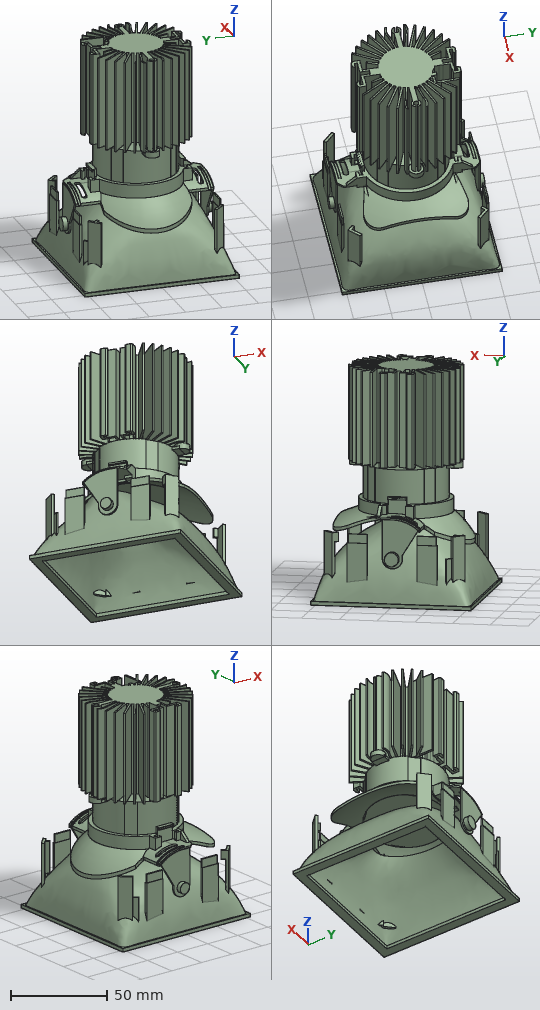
import cadquery as cq
import math

total_height = 121.0
flange_side = 84.8
flange_thickness = 2.0

sink_length = 50.0
sink_bottom = total_height - sink_length
core_radius = 14.7
fin_tip_radius = 29.75
short_fin_radius = 21.0
fin_root_thickness = 1.3
fin_tip_thickness = 0.95
fin_pitch = 10

holder_radius = 22.4
holder_top = 69.4
collar_radius = 24.8
collar_bottom = 44.0
collar_top = 51.3

pivot_height = 25.2


def box(x_min, x_max, y_min, y_max, z_min, z_max):
    """Axis-aligned block given by its limits."""
    size = (x_max - x_min, y_max - y_min, z_max - z_min)
    return cq.Workplane("XY").box(*size, centered=False).translate((x_min, y_min, z_min))


def cylinder(x, y, radius, z_min, z_max):
    """Upright cylinder between two heights."""
    return cq.Workplane("XY").workplane(offset=z_min).center(x, y).circle(radius).extrude(z_max - z_min)


def mirrored(shape, plane):
    """A shape together with its mirror image."""
    return shape.union(shape.mirror(plane))


boss_x = 26.1
boss_radius = 2.5
screw_radius = 1.35
screw_slot_width = 0.9
web_thickness = 3.0
post_radius = 4.0
post_bottom = 67.8

lug_half_width = 9.2
lip_half_gap = 5.0
channel_wall = 1.6
lip_chamfer = 0.8
channel_back = 22.8
channel_front = 27.5
stem_half_width = 2.4
stem_slot_half_width = 1.15
stem_slot_start = 19.3


def sink_box(x_min, x_max, y_min, y_max):
    return box(x_min, x_max, y_min, y_max, sink_bottom, total_height)


def radial_fin(angle, tip_radius):
    """Tapered fin pointing along the given angle in degrees."""
    root = fin_root_thickness / 2
    tip = fin_tip_thickness / 2
    inner = core_radius - 1
    outline = [(inner, -root), (tip_radius, -tip), (tip_radius, tip), (inner, root)]
    fin = cq.Workplane("XY").workplane(offset=sink_bottom).polyline(outline).close().extrude(sink_length)
    return fin.rotate((0, 0, 0), (0, 0, 1), angle)


def bent_fin():
    """Fin beside a screw boss: it runs outward, then bows around the boss."""
    half = fin_tip_thickness / 2
    start = (core_radius - 1, 2.6)
    bend = (22.5, 4.6)
    crest = (25.8, 5.6)
    tip = (29.4, 5.0)
    return (
        cq.Workplane("XY")
        .workplane(offset=sink_bottom)
        .moveTo(start[0], start[1] - half)
        .lineTo(bend[0], bend[1] - half)
        .threePointArc((crest[0], crest[1] - half), (tip[0], tip[1] - half))
        .lineTo(tip[0], tip[1] + half)
        .threePointArc((crest[0], crest[1] + half), (bend[0], bend[1] + half))
        .lineTo(start[0], start[1] + half)
        .close()
        .extrude(sink_length)
    )


def screw_boss():
    """Web, open screw boss and mounting post on the +X side."""
    half_web = web_thickness / 2
    web = sink_box(core_radius - 1, boss_x - screw_radius, -half_web, half_web)
    boss = web.union(cylinder(boss_x, 0, boss_radius, sink_bottom, total_height))
    boss = boss.cut(cylinder(boss_x, 0, screw_radius, sink_bottom, total_height))
    half_slot = screw_slot_width / 2
    boss = boss.cut(sink_box(boss_x, boss_x + post_radius, -half_slot, half_slot))
    return boss.union(cylinder(boss_x, 0, post_radius, post_bottom, sink_bottom))


def tee_channel():
    """Slotted stem that carries a C-shaped channel on the +Y side."""
    channel = sink_box(-lug_half_width, lug_half_width, channel_back, channel_front)
    inner = lug_half_width - channel_wall
    channel = channel.cut(
        sink_box(-inner, inner, channel_back + channel_wall, channel_front - channel_wall)
    )
    channel = channel.cut(sink_box(-lip_half_gap, lip_half_gap, channel_back + channel_wall, channel_front))
    channel = channel.edges("|Z and >Y").chamfer(lip_chamfer)
    stem = sink_box(-stem_half_width, stem_half_width, core_radius - 1, channel_back)
    slot = sink_box(-stem_slot_half_width, stem_slot_half_width, stem_slot_start, channel_front)
    return channel.union(stem).cut(slot)


pocket_radius = 5.4
pocket_x = 7.7
pocket_y = 17.9
pocket_floor = 13.2
pocket_wall_x = 12.9
pocket_wall_end = 25.6
pocket_wall_thickness = 1.2
key_width = 2.0
key_height = 1.4


def add_wire_pocket(sink):
    """Wire pocket in the (+X, +Y) quadrant, with a straight wall and a small key."""
    outer = pocket_wall_x + pocket_wall_thickness
    floor_bottom = pocket_floor - pocket_wall_thickness
    sink = sink.union(sink_box(pocket_x, outer, floor_bottom, pocket_floor))
    sink = sink.cut(cylinder(pocket_x, pocket_y, pocket_radius, sink_bottom, total_height))
    sink = sink.cut(sink_box(pocket_x, pocket_wall_x, pocket_floor, channel_back))
    sink = sink.union(sink_box(pocket_wall_x, outer, floor_bottom, pocket_wall_end))
    key_left = pocket_x - key_width / 2
    key_top = pocket_floor + key_height
    return sink.union(sink_box(key_left, key_left + key_width, pocket_floor - 1, key_top))


def build_heat_sink():
    sink = cylinder(0, 0, core_radius, sink_bottom, total_height)
    for step in range(2, 8):
        angle = step * fin_pitch
        tip_radius = short_fin_radius if angle == 70 else fin_tip_radius
        for direction in (angle, 180 - angle, 180 + angle, -angle):
            if direction in (60, 70):
                continue
            sink = sink.union(radial_fin(direction, tip_radius))
    sink = sink.union(mirrored(mirrored(bent_fin(), "XZ"), "YZ"))
    sink = sink.union(mirrored(screw_boss(), "YZ"))
    sink = sink.union(mirrored(tee_channel(), "XZ"))
    return add_wire_pocket(sink)


notch_distance = 21.65
notch_half_width = 3.4


def build_holder():
    """Upright drum with four shallow notches and two ears that fit into the heat sink posts."""
    drum = cylinder(0, 0, holder_radius, collar_bottom, holder_top)
    notch = box(notch_distance, collar_radius, -notch_half_width, notch_half_width, collar_bottom, holder_top)
    for angle in (45, 135, 225, 315):
        drum = drum.cut(notch.rotate((0, 0, 0), (0, 0, 1), angle))
    ears = box(-boss_x, boss_x, -post_radius, post_radius, post_bottom, holder_top)
    return drum.union(ears)


skin_drop = 1.6
cap_half_width = 24.2
cap_reach = 36.1
cap_rim_radius = 37.5
cap_rim_height = 28.0
cap_plan_radius = 26.0
visor_corner_radius = 9.0
visor_root_x = -5.0
visor_reach = 35.0
visor_half_width = 27.7
visor_corner_x = 25.0
visor_rim_radius = 45.0

lug_front = 27.9
gusset_front = 33.4
gusset_thickness = 1.8
hook_half_width = 4.9
hook_back = 23.2
hook_thickness = 1.2
hook_top = 55.4
hook_reach = 25.7

strip_radius = 21.4
strip_top = pivot_height + strip_radius
strip_left = -14.3
strip_thickness = 1.1
open_slot_depth = 0.7
strip_start = 22.8
arm_outer = 38.4
strip_end = arm_outer - 0.5
arm_top_radius = strip_radius - 0.8
arm_thickness = 1.0
arm_boss_radius = 5.3
front_pin_radius = 3.1
rear_pin_radius = 3.7
pin_end = 41.1


def revolved_skin(outer_points):
    """Skin of revolution under a smooth curve through (radius, height) points."""
    under_points = [(radius - 0.4, height - skin_drop) for radius, height in reversed(outer_points)]
    return (
        cq.Workplane("XZ")
        .moveTo(*outer_points[0])
        .spline(outer_points[1:], includeCurrent=True)
        .lineTo(*under_points[0])
        .spline(under_points[1:], includeCurrent=True)
        .close()
        .revolve(360, (0, 0, 0), (0, 1, 0))
    )


def build_cap():
    """Rounded cap on the -X side that lies over the reflector."""
    skin = revolved_skin([(21.5, 46.5), (31.2, 37.6), (cap_rim_radius, cap_rim_height)])
    plan = cylinder(cap_plan_radius - cap_reach, 0, cap_plan_radius, 0, collar_top)
    plan = plan.intersect(box(-cap_reach - 1, 0, -cap_half_width, cap_half_width, 0, collar_top))
    return skin.intersect(plan)


def build_visor():
    """Shallow wing on the +X side with a widened, rounded end."""
    skin = revolved_skin([(20.0, 46.0), (visor_reach, 41.5), (visor_rim_radius, 36.0)])
    outline = [
        (visor_root_x, -cap_half_width),
        (lug_half_width, -cap_half_width),
        (visor_corner_x, -visor_half_width),
        (visor_reach, -visor_half_width),
        (visor_reach, visor_half_width),
        (visor_corner_x, visor_half_width),
        (lug_half_width, cap_half_width),
        (visor_root_x, cap_half_width),
    ]
    plan = cq.Workplane("XY").polyline(outline).close().extrude(collar_top)
    plan = plan.edges("|Z and >X").fillet(visor_corner_radius)
    return skin.intersect(plan)


def build_strip():
    """Curved, slotted strip concentric with the pivot, flat towards +X."""
    inner_radius = strip_radius - strip_thickness
    left_outer = pivot_height + math.sqrt(strip_radius**2 - strip_left**2)
    left_inner = pivot_height + math.sqrt(inner_radius**2 - strip_left**2)
    middle_angle = math.radians(110)
    cos_mid = math.cos(middle_angle)
    sin_mid = math.sin(middle_angle)
    strip = (
        cq.Workplane("XZ", origin=(0, strip_start, 0))
        .moveTo(strip_left, left_outer)
        .threePointArc((strip_radius * cos_mid, pivot_height + strip_radius * sin_mid), (0, strip_top))
        .lineTo(lug_half_width, strip_top)
        .lineTo(lug_half_width, strip_top - strip_thickness)
        .lineTo(0, strip_top - strip_thickness)
        .threePointArc(
            (inner_radius * cos_mid, pivot_height + inner_radius * sin_mid), (strip_left, left_inner)
        )
        .close()
        .extrude(strip_start - strip_end)
    )
    strip = strip.edges("|Z and >X and >Y").chamfer(2.9)
    open_slot = box(strip_left, 3.2, 35.1, 36.5, 0, collar_top)
    slot_floor = cq.Workplane("XZ", origin=(0, arm_outer, 0)).center(0, pivot_height)
    slot_floor = slot_floor.circle(strip_radius - open_slot_depth).extrude(arm_outer)
    open_slot = open_slot.cut(slot_floor)
    round_slot = box(-12.0, 1.7, 30.6, 33.4, 0, collar_top).edges("|Z").fillet(1.35)
    return strip.cut(open_slot).cut(round_slot)


def build_arm():
    """Flat arm that hangs from the strip down to the pivot."""
    arm_top = pivot_height + arm_top_radius
    arc_start_x = -13.7
    arc_start_z = pivot_height + math.sqrt(arm_top_radius**2 - arc_start_x**2)
    middle_angle = math.radians(105)
    arc_middle = (
        arm_top_radius * math.cos(middle_angle),
        pivot_height + arm_top_radius * math.sin(middle_angle),
    )
    return (
        cq.Workplane("XZ", origin=(0, arm_outer, 0))
        .moveTo(arm_boss_radius, pivot_height)
        .lineTo(arm_boss_radius, arm_top)
        .lineTo(0, arm_top)
        .threePointArc(arc_middle, (arc_start_x, arc_start_z))
        .lineTo(-arm_boss_radius, pivot_height + 2)
        .lineTo(-arm_boss_radius, pivot_height)
        .threePointArc((0, pivot_height - arm_boss_radius), (arm_boss_radius, pivot_height))
        .close()
        .extrude(arm_thickness)
    )


def build_hook():
    """Upright tab with a small lip turned outward and down."""
    tab_front = hook_back + hook_thickness
    tab = box(-hook_half_width, hook_half_width, hook_back, tab_front, collar_bottom, hook_top)
    lip = box(-hook_half_width, hook_half_width, hook_back, hook_reach, hook_top - 0.6, hook_top)
    tip = box(-hook_half_width, hook_half_width, hook_reach - 0.6, hook_reach, hook_top - 1.3, hook_top)
    return tab.union(lip).union(tip)


def build_lug_pair():
    """Two blocks beside the hook, grooved towards it, and the sloping gusset."""
    block = box(lip_half_gap, lug_half_width, holder_radius, lug_front, collar_bottom, collar_top)
    groove = box(lip_half_gap, lug_half_width - gusset_thickness, 24.5, 26.2, strip_top, collar_top)
    lugs = mirrored(block.cut(groove), "YZ")
    gusset_outline = [
        (lug_front, strip_top - strip_thickness),
        (gusset_front, strip_top - strip_thickness),
        (gusset_front, strip_top),
        (lug_front, collar_top),
    ]
    gusset = cq.Workplane("YZ", origin=(lug_half_width - gusset_thickness, 0, 0))
    gusset = gusset.polyline(gusset_outline).close().extrude(gusset_thickness)
    return lugs.union(gusset)


def build_side(pin_radius):
    """Everything the bracket carries on its +Y side."""
    pin = cq.Workplane("XZ", origin=(0, pin_end, 0)).center(0, pivot_height).circle(pin_radius)
    pin = pin.extrude(pin_end - arm_outer + arm_thickness)
    return build_strip().union(build_arm()).union(build_hook()).union(build_lug_pair()).union(pin)


def build_bracket():
    bracket = cylinder(0, 0, collar_radius, collar_bottom, collar_top)
    bracket = bracket.union(build_cap()).union(build_visor())
    flat = box(-collar_radius, collar_radius, hook_back, collar_radius, collar_bottom, collar_top)
    bracket = bracket.cut(mirrored(flat, "XZ"))
    bracket = bracket.union(build_side(rear_pin_radius))
    bracket = bracket.union(build_side(front_pin_radius).mirror("XZ"))
    return bracket.cut(cylinder(0, 0, holder_radius, 0, collar_top))


reflector_wall = 2.2
reflector_top = 39.5
reflector_base_reach = 41.4
reflector_steps = 7
outline_points = 56


def reflector_section(rise, inset):
    """Smooth closed outline at a rise above the flange: nearly square at the base, an ellipse at the top."""
    share = rise / (reflector_top - flange_thickness)
    reach_y = reflector_base_reach - 14.7 * share**1.7 - inset
    high_reach = reflector_base_reach - 17.2 * share**1.7 - inset
    low_reach = reflector_base_reach - 31.9 * share**2.5 - inset
    reach_x = (high_reach + low_reach) / 2
    middle_x = (low_reach - high_reach) / 2
    squareness = 2 + 12 * (1 - share) ** 2 / (share + 0.3)
    bow = 0.22 * share * (1 - share)

    points = []
    for step in range(outline_points):
        angle = 2 * math.pi * step / outline_points
        cosine = math.cos(angle)
        sine = math.sin(angle)
        spread = (abs(cosine) ** squareness + abs(sine) ** squareness) ** (1 / squareness)
        across = cosine / spread
        along = sine / spread
        x = middle_x + reach_x * across * (1 - bow * along**2)
        y = reach_y * along * (1 - bow * across**2)
        points.append(cq.Vector(x, y, flange_thickness + rise))
    return cq.Wire.assembleEdges([cq.Edge.makeSpline(points, periodic=True)])


def reflector_form(inset):
    """Smooth loft from the square base to the round top, which leans down towards +X."""
    rise = (reflector_top - flange_thickness) / reflector_steps
    sections = [reflector_section(step * rise, inset) for step in range(reflector_steps + 1)]
    return cq.Workplane(cq.Solid.makeLoft(sections))


clip_bottom = 10.5
clip_top = 37.7


def side_clip():
    """Upright clip on the +Y side."""
    clip = box(13.2, 23.8, 37.7, 39.1, clip_bottom, 33.0)
    return clip.union(box(13.2, 23.3, 37.9, 38.8, 33.0, clip_top))


corner_clip_distance = 48.2
corner_clip_thickness = 1.6
corner_clip_half_width = 3.8


def corner_clip():
    """Upright plate across a diagonal, drawn on the +X axis."""
    half = corner_clip_thickness / 2
    d = corner_clip_distance
    return box(d - half, d + half, -corner_clip_half_width, corner_clip_half_width, clip_bottom, clip_top)


def clip_with_strip():
    """Corner clip of the -X side: a lower strip continues one end of the plate."""
    d = corner_clip_distance
    strip = box(d - 1.6, d - 0.6, corner_clip_half_width - 1, 6.9, clip_bottom, 26.0)
    return corner_clip().union(strip)


def clip_with_catch():
    """Corner clip of the +X side: a short catch behind one upper end of the plate."""
    d = corner_clip_distance
    catch = box(d - 3.2, d, corner_clip_half_width - 1.5, corner_clip_half_width, 32.7, clip_top)
    return corner_clip().union(catch)


def build_corner_clips():
    """Clips on all four diagonals, mirrored between the -Y and +Y sides."""
    turned = clip_with_strip().rotate((0, 0, 0), (0, 0, 1), 225)
    turned = turned.union(clip_with_catch().rotate((0, 0, 0), (0, 0, 1), 45).mirror("XZ"))
    rib = box(corner_clip_distance - 3.2, corner_clip_distance, -0.7, 0.7, 20.0, clip_top)
    return mirrored(turned, "XZ").union(rib.rotate((0, 0, 0), (0, 0, 1), 135))


def build_reflector():
    half = flange_side / 2
    flange = box(-half, half, -half, half, 0, flange_thickness)
    opening = reflector_base_reach - reflector_wall - 2
    flange = flange.cut(box(-opening, opening, -opening, opening, 0, flange_thickness))
    body = flange.union(reflector_form(0).cut(reflector_form(reflector_wall)))
    clips = mirrored(mirrored(side_clip(), "XZ"), "YZ")
    return body.union(clips).union(build_corner_clips())


holder = build_holder()
heat_sink = build_heat_sink().cut(holder)
bracket = build_bracket()
reflector = build_reflector()
result = cq.Compound.makeCompound([heat_sink.val(), holder.val(), bracket.val(), reflector.val()])